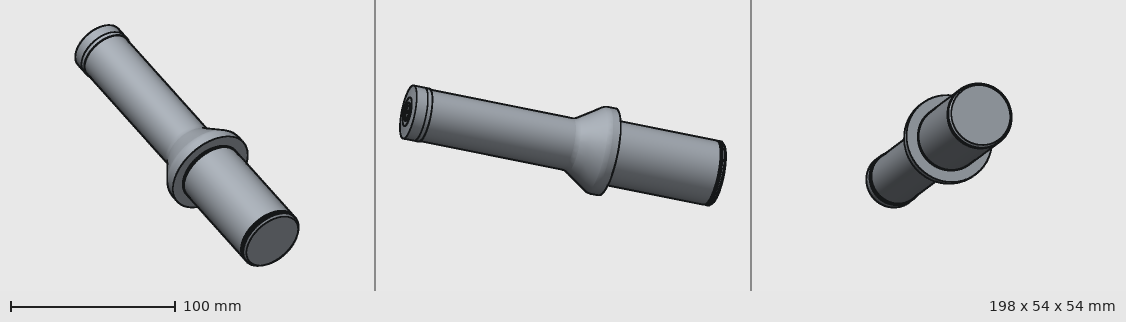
import cadquery as cq

total_length = 198.0

head_diameter = 33.0
head_length = 8.0
rim_setback = 0.8
rim_inner_diameter = 28.5
boss_diameter = 17.8
boss_height = 0.2
recess_diameter = 11.5
recess_floor_diameter = 8.3
recess_step_depth = 0.2
dimple_diameter = 2.0
dimple_depth = 0.5

collar_end = 10.9
neck_diameter = 32.0
cone_start = 104.4
cone_end = 121.4
flange_diameter = 54.0
flange_end = 128.0
blend_radius = 5.5
shank_diameter = 40.0
groove_diameter = 39.5
groove_width = 1.5
groove_wall_run = 0.4
rear_groove_start = 193.9
shank_chamfer = 1.4


def turned(points):
    """Revolve a closed outline of (X, radius) points about the X axis."""
    return cq.Workplane("XY").polyline(points).close().revolve(360, (0, 0, 0), (1, 0, 0))


def make_head():
    recess_floor = 2 * recess_step_depth
    return turned([
        (recess_floor + dimple_depth, 0),
        (recess_floor, dimple_diameter / 2),
        (recess_floor, recess_floor_diameter / 2),
        (recess_step_depth, recess_floor_diameter / 2),
        (recess_step_depth, recess_diameter / 2),
        (0, recess_diameter / 2),
        (0, boss_diameter / 2),
        (boss_height, boss_diameter / 2),
        (rim_setback, rim_inner_diameter / 2),
        (rim_setback, head_diameter / 2),
        (head_length, head_diameter / 2),
        (head_length, 0),
    ])


def ring_edges(x, diameter):
    """Select the circular edge of a given diameter at station X."""
    reach = diameter / 2 + 0.2
    return cq.selectors.BoxSelector((x - 0.2, -reach, -reach), (x + 0.2, reach, reach), boundingbox=True)


def make_front_of_holder():
    """Collar, neck, cone and flange, with both ends of the cone blended."""
    front = turned([
        (head_length, 0),
        (head_length, head_diameter / 2),
        (collar_end, head_diameter / 2),
        (collar_end, neck_diameter / 2),
        (cone_start, neck_diameter / 2),
        (cone_end, flange_diameter / 2),
        (flange_end, flange_diameter / 2),
        (flange_end, 0),
    ])
    front = front.edges(ring_edges(cone_start, neck_diameter)).fillet(blend_radius)
    return front.edges(ring_edges(cone_end, flange_diameter)).fillet(blend_radius)


def make_shank():
    shank_radius = shank_diameter / 2
    groove_radius = groove_diameter / 2
    front_groove_end = flange_end + groove_width
    rear_groove_end = rear_groove_start + groove_width
    return turned([
        (flange_end, 0),
        (flange_end, shank_radius),
        (flange_end + groove_wall_run, groove_radius),
        (front_groove_end - groove_wall_run, groove_radius),
        (front_groove_end, shank_radius),
        (rear_groove_start, shank_radius),
        (rear_groove_start + groove_wall_run, groove_radius),
        (rear_groove_end - groove_wall_run, groove_radius),
        (rear_groove_end, shank_radius),
        (total_length - shank_chamfer, shank_radius),
        (total_length, shank_radius - shank_chamfer),
        (total_length, 0),
    ])


head = make_head()
holder = make_front_of_holder().union(make_shank())

result = cq.Compound.makeCompound([head.val(), holder.val()])